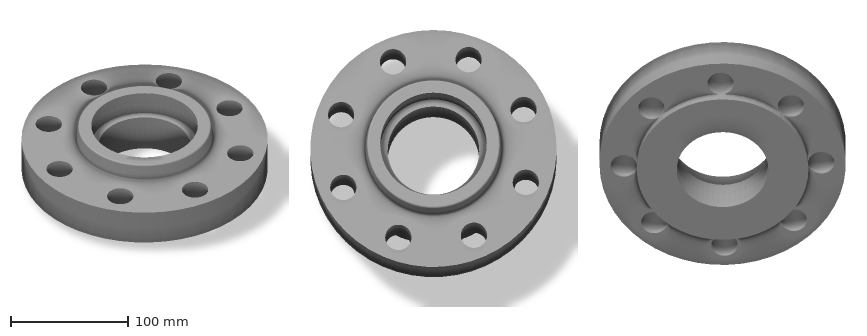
import cadquery as cq


face_height = 7.95
flange_thickness = 31.75
hub_height = 14.22
socket_depth = 21.0

flange_diameter = 209.55
face_diameter = 146.05
hub_base_diameter = 117.35
socket_diameter = 90.68
bore_diameter = 77.98

hub_taper_angle = 9.0
hub_base_fillet = 1.6
hub_rim_fillet = 1.5

selection_margin = 0.1

bolt_count = 8
bolt_circle_diameter = 168.15
bolt_hole_diameter = 22.35

flange_top = face_height + flange_thickness
total_height = flange_top + hub_height
socket_floor = total_height - socket_depth


def disc(diameter, height, bottom):
    """Plain cylinder on the flange axis."""
    return cq.Workplane("XY").workplane(offset=bottom).circle(diameter / 2).extrude(height)


def round_hub_foot(body):
    """Rounds the corner where the hub meets the bolting disc."""
    on_disc_top = cq.selectors.BoxSelector(
        (-flange_diameter, -flange_diameter, flange_top - selection_margin),
        (flange_diameter, flange_diameter, flange_top + selection_margin),
        boundingbox=True,
    )
    smallest_circle = cq.selectors.RadiusNthSelector(0)
    return body.edges(on_disc_top).edges(smallest_circle).fillet(hub_base_fillet)


def flange_body():
    """Raised joint face, bolting disc and tapered hub, with the hub edges rounded."""
    raised_face = disc(face_diameter, face_height, 0)
    bolting_disc = disc(flange_diameter, flange_thickness, face_height)
    hub = (
        cq.Workplane("XY")
        .workplane(offset=flange_top)
        .circle(hub_base_diameter / 2)
        .extrude(hub_height, taper=hub_taper_angle)
    )
    body = raised_face.union(bolting_disc).union(hub)
    body = body.faces(">Z").edges().fillet(hub_rim_fillet)
    return round_hub_foot(body)


def bore_and_socket():
    """Through bore with the wider pipe socket above it."""
    bore = disc(bore_diameter, total_height, 0)
    socket = disc(socket_diameter, socket_depth, socket_floor)
    return bore.union(socket)


def bolt_holes():
    """Ring of through holes that just nick the rim of the raised face."""
    return (
        cq.Workplane("XY")
        .polarArray(bolt_circle_diameter / 2, 0, 360, bolt_count)
        .circle(bolt_hole_diameter / 2)
        .extrude(flange_top)
    )


result = flange_body().cut(bore_and_socket()).cut(bolt_holes())